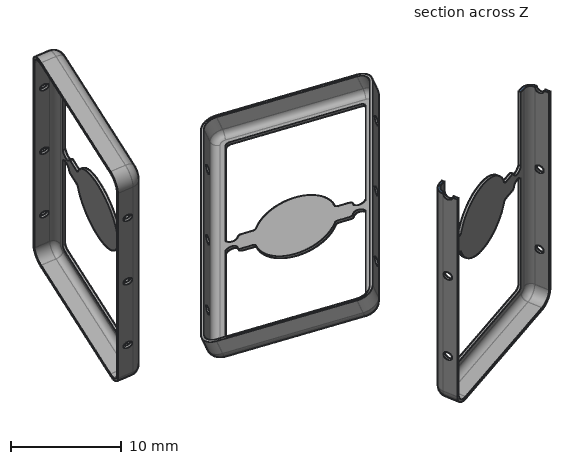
import cadquery as cq
import math

width = 16.6
depth = 2.5
height = 32.1
wall = 0.3
corner_radius = 1.5
back_edge_radius = 1.0

rim_width = 1.5
window_corner_radius = 0.48
window_width = width - 2 * rim_width
window_height = height - 2 * rim_width

disc_radius = 4.0
disc_fillet = 0.3
bridge_height = 2.05
neck_height = 0.67
neck_x = 6.1
notch_radius = 0.55
flare_radius = 0.75
lip_fillet = 0.32

hole_diameter = 0.9
hole_pitch = 9.98
hole_from_front = 1.0

front_y = -depth / 2
back_y = depth / 2
floor_front_y = back_y - wall


def rounded_block(size_x, size_z, start_y, end_y, radius):
    """Block between two Y planes, with its four Y-direction corners rounded."""
    return (
        cq.Workplane("XZ", origin=(0, start_y, 0))
        .rect(size_x, size_z)
        .extrude(start_y - end_y)
        .edges("|Y")
        .fillet(radius)
    )


def make_tray():
    """Thin shell with a rounded back edge and a constant wall."""
    outer = rounded_block(width, height, front_y, back_y, corner_radius)
    outer = outer.faces(">Y").edges().fillet(back_edge_radius)
    cavity = rounded_block(
        width - 2 * wall, height - 2 * wall, front_y, floor_front_y, corner_radius - wall
    )
    cavity = cavity.faces(">Y").edges().fillet(back_edge_radius - wall)
    return outer.cut(cavity)


def make_half_arm():
    """Upper half of the +X arm: a bar with a notch that flares out to the window side."""
    arm_end = window_width / 2
    half_neck = neck_height / 2
    half_bridge = bridge_height / 2
    notch_center_z = half_neck + notch_radius
    lip_x = neck_x - math.sqrt(notch_radius**2 - (half_bridge - notch_center_z) ** 2)
    flare_width = arm_end - neck_x
    flare_end_z = half_neck + flare_radius - math.sqrt(flare_radius**2 - flare_width**2)
    arm = (
        cq.Workplane("XZ", origin=(0, floor_front_y, 0))
        .lineTo(0, half_bridge)
        .lineTo(lip_x, half_bridge)
        .radiusArc((neck_x, half_neck), -notch_radius)
        .radiusArc((arm_end, flare_end_z), -flare_radius)
        .lineTo(arm_end, 0)
        .close()
        .extrude(-wall)
    )
    lip = cq.selectors.NearestToPointSelector((lip_x, floor_front_y + wall / 2, half_bridge))
    return arm.edges("|Y").edges(lip).fillet(lip_fillet)


def make_disc_bridge():
    """Disc held by two mirrored arms, with the arm-to-disc corners rounded."""
    half_arm = make_half_arm()
    arm = half_arm.union(half_arm.mirror("XY"))
    disc = cq.Workplane("XZ", origin=(0, floor_front_y, 0)).circle(disc_radius).extrude(-wall)
    bridge = disc.union(arm).union(arm.mirror("YZ"))
    disc_zone = cq.selectors.BoxSelector((-disc_radius, -depth, -height), (disc_radius, depth, height))
    return bridge.edges("|Y").edges(disc_zone).fillet(disc_fillet)


def make_side_holes():
    """Three holes through both long side walls."""
    hole_y = front_y + hole_from_front
    return (
        cq.Workplane("YZ", origin=(-width / 2, 0, 0))
        .pushPoints([(hole_y, step * hole_pitch) for step in (-1, 0, 1)])
        .circle(hole_diameter / 2)
        .extrude(width)
    )


window = rounded_block(window_width, window_height, front_y, back_y, window_corner_radius)
result = make_tray().cut(window).union(make_disc_bridge()).cut(make_side_holes())